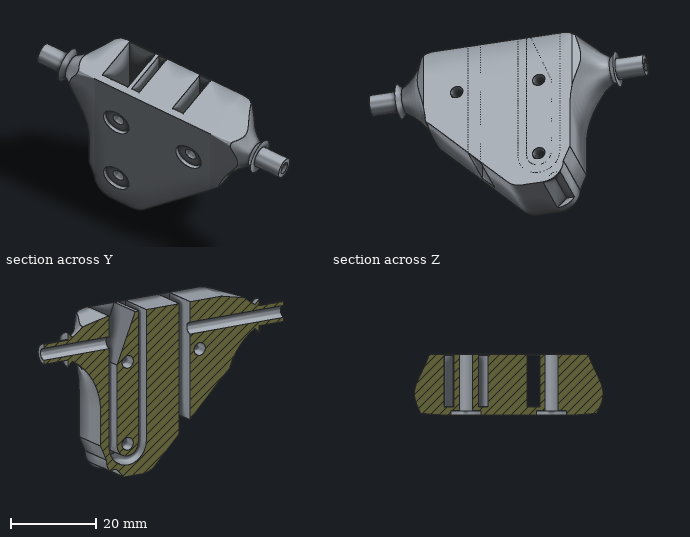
import cadquery as cq
import math

body_width = 32.0
body_height = 40.0
body_depth = 14.3
corner_radius = 5.0
slope_start_z = 19.8
slope_foot_x = body_width - slope_start_z

connector_y = 5.0
connector_z = 33.5
tube_diameter = 5.0
bore_diameter = 2.8
tube_tip_reach = 17.35
flange_reach = 10.6
neck_reach = 9.35
shoulder_reach = 1.6
flange_radius = 4.2
blend_tip_radius = 2.5
neck_radius = 3.0
flare_end_radius = 16.4
shoulder_radius = 50.0
blend_back_y = 15.6
sharp_corner = 0.05

hole_diameter = 3.0
counterbore_diameter = 7.0
counterbore_depth = 1.0
hole_left_x = 6.0
hole_low_z = 8.0
hole_pitch = 20.0

channel_front_y = 2.0
channel_back_y = 14.0
core_radius = 3.0
channel_gap = 2.1
mouth_right_x = 8.0
mouth_depth = 12.3
straight_slot_x = 20.3
straight_slot_width = 3.0

notch_height = 2.25


def extrude_along_y(sketch, y_start, y_end):
    """Extrude an XZ sketch from y_start to y_end."""
    return sketch.extrude(-(y_end - y_start)).translate((0, y_start, 0))


def make_body():
    outline = (
        cq.Workplane("XZ")
        .polyline([
            (0, 0),
            (slope_foot_x, 0),
            (body_width, slope_start_z),
            (body_width, body_height),
            (0, body_height),
        ])
        .close()
    )
    body = extrude_along_y(outline, 0, body_depth)
    return body.edges("|Y").edges("<Z").fillet(corner_radius)


def rounded_rectangle(y_min, y_max, z_min, z_max, radius):
    """Rounded rectangle with sketch axes along Y and Z."""
    center = cq.Location(cq.Vector((y_min + y_max) / 2, (z_min + z_max) / 2, 0))
    return cq.Sketch().rect(y_max - y_min, z_max - z_min).vertices().fillet(radius).moved(center)


def make_blend(side_bottom_z):
    """Straight-sided blend from the side face at x = 0 to a rounded square at the flange, toward -X."""
    base = rounded_rectangle(0, blend_back_y, side_bottom_z, body_height, sharp_corner)
    tip = rounded_rectangle(
        connector_y - flange_radius,
        connector_y + flange_radius,
        connector_z - flange_radius,
        connector_z + flange_radius,
        blend_tip_radius,
    )
    flange_plane = cq.Location(cq.Vector(0, 0, -flange_reach))
    return cq.Workplane("YZ").placeSketch(base, tip.moved(flange_plane)).loft(ruled=True)


def revolve_on_connector(profile):
    """Revolve an (x, radius) profile about the connector axis."""
    return profile.close().revolve(360, (0, 0, 0), (1, 0, 0)).translate((0, connector_y, connector_z))


def make_flare():
    """Bell-shaped envelope whose concave arc ends square on the shoulder face."""
    rise = flare_end_radius - neck_radius
    run = neck_reach - shoulder_reach
    arc_radius = (rise**2 + run**2) / (2 * run)
    half_angle = math.asin(rise / arc_radius) / 2
    arc_center_x = -shoulder_reach - arc_radius
    arc_middle = (
        arc_center_x + arc_radius * math.cos(half_angle),
        flare_end_radius - arc_radius * math.sin(half_angle),
    )
    profile = (
        cq.Workplane("XY")
        .moveTo(0, 0)
        .lineTo(-neck_reach, 0)
        .lineTo(-neck_reach, neck_radius)
        .threePointArc(arc_middle, (-shoulder_reach, flare_end_radius))
        .lineTo(-shoulder_reach, shoulder_radius)
        .lineTo(0, shoulder_radius)
    )
    return revolve_on_connector(profile)


def make_tube():
    """Tube with a conical flange at the neck."""
    tube_radius = tube_diameter / 2
    profile = cq.Workplane("XY").polyline([
        (0, 0),
        (-tube_tip_reach, 0),
        (-tube_tip_reach, tube_radius),
        (-flange_reach, tube_radius),
        (-flange_reach, flange_radius),
        (-neck_reach, neck_radius),
        (0, neck_radius),
    ])
    return revolve_on_connector(profile)


def make_connector(side_bottom_z):
    """Left-hand connector with its blend trimmed flush with the body's back."""
    trim = cq.Workplane("XY").box(
        flange_reach, body_depth, body_height, centered=False
    ).translate((-flange_reach, 0, 0))
    return make_blend(side_bottom_z).intersect(make_flare()).intersect(trim).union(make_tube())


def mirror_to_right(shape):
    return shape.mirror("YZ").translate((body_width, 0, 0))


def cut_screw_holes(part):
    for x, z in [
        (hole_left_x, hole_low_z),
        (hole_left_x, hole_low_z + hole_pitch),
        (hole_left_x + hole_pitch, hole_low_z + hole_pitch),
    ]:
        circle = cq.Workplane("XZ").center(x, z)
        part = part.cut(extrude_along_y(circle.circle(hole_diameter / 2), 0, body_depth))
        part = part.cut(extrude_along_y(circle.circle(counterbore_diameter / 2), 0, counterbore_depth))
    return part


def make_u_channel():
    """U-shaped channel round the left screw holes, its left leg widened into a sloped mouth."""
    outer_radius = core_radius + channel_gap
    core_left_x = hole_left_x - core_radius
    core_right_x = hole_left_x + core_radius
    profile = (
        cq.Workplane("XZ")
        .moveTo(hole_left_x - outer_radius, body_height)
        .lineTo(hole_left_x - outer_radius, hole_low_z)
        .threePointArc((hole_left_x, hole_low_z - outer_radius), (hole_left_x + outer_radius, hole_low_z))
        .lineTo(hole_left_x + outer_radius, body_height)
        .lineTo(core_right_x, body_height)
        .lineTo(core_right_x, hole_low_z)
        .threePointArc((hole_left_x, hole_low_z - core_radius), (core_left_x, hole_low_z))
        .lineTo(core_left_x, body_height - mouth_depth)
        .lineTo(mouth_right_x, body_height)
        .close()
    )
    return extrude_along_y(profile, channel_front_y, channel_back_y)


def make_straight_slot():
    """Slot straight down from the top and out through the sloping edge."""
    return cq.Workplane("XY").box(
        straight_slot_width, channel_back_y - channel_front_y, body_height, centered=False
    ).translate((straight_slot_x, channel_front_y, 0))


def make_corner_notch():
    """Recess under the rounded corner, closed by a 45 degree face."""
    profile = (
        cq.Workplane("XZ")
        .polyline([
            (0, 0),
            (corner_radius, 0),
            (corner_radius - notch_height, notch_height),
            (0, notch_height),
        ])
        .close()
    )
    return extrude_along_y(profile, channel_front_y, channel_back_y)


def make_bore(x_start, x_end):
    return (
        cq.Workplane("YZ", origin=(x_start, 0, 0))
        .center(connector_y, connector_z)
        .circle(bore_diameter / 2)
        .extrude(x_end - x_start)
    )


part = make_body()
part = part.union(make_connector(corner_radius))
part = part.union(mirror_to_right(make_connector(slope_start_z)))
part = cut_screw_holes(part)
part = part.cut(make_u_channel())
part = part.cut(make_straight_slot())
part = part.cut(make_corner_notch())
part = part.cut(make_bore(-tube_tip_reach, hole_left_x - core_radius))
part = part.cut(make_bore(straight_slot_x + straight_slot_width / 2, body_width + tube_tip_reach))

result = part